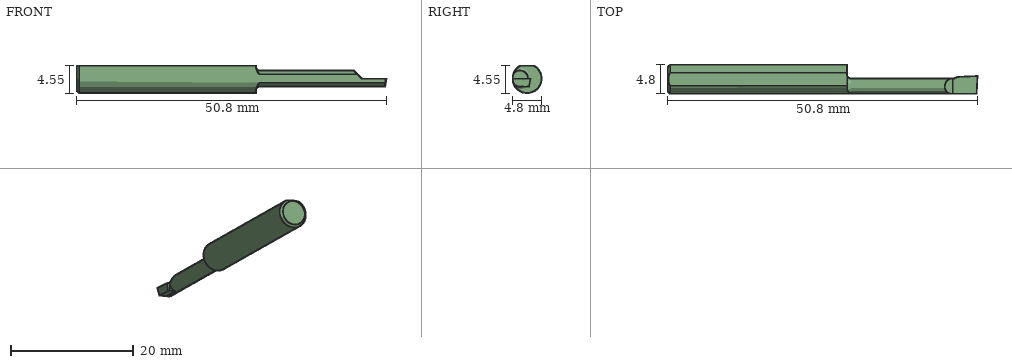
import cadquery as cq
import math

overall_length = 50.8
shank_length = 29.4
shank_radius = 2.4
shank_chamfer = 0.4
flat_height = 2.15

neck_radius = 1.3
neck_center_y = -1.15
root_fillet = 0.6

rake_start_x = 46.75
head_start_x = 46.9
ramp_angle = 45.0
head_shoulder_x = 47.45
head_shoulder_y = 0.4
cutting_corner_y = 0.55
end_skew = 0.15
relief_angle = 10.0


def x_cylinder(radius, length, center_y=0.0):
    """Cylinder along +X starting at X = 0."""
    return cq.Workplane("YZ").center(center_y, 0).circle(radius).extrude(length)


def make_shank():
    shank = x_cylinder(shank_radius, shank_length).faces("<X").chamfer(shank_chamfer)
    width = 2 * shank_radius
    below_flat = cq.Workplane("XY").box(
        shank_length, width, flat_height + shank_radius, centered=(False, True, False)
    ).translate((0, 0, -shank_radius))
    return shank.intersect(below_flat)


def make_neck():
    """Revolve the neck with a concave flare where it leaves the shank."""
    flare_radius = neck_radius + root_fillet
    flare_end = shank_length + root_fillet
    arc_offset = root_fillet * (1 - math.sqrt(0.5))
    flare_middle = (shank_length + arc_offset, neck_radius + arc_offset)
    profile = (
        cq.Workplane("XY")
        .moveTo(shank_length, 0)
        .lineTo(shank_length, flare_radius)
        .threePointArc(flare_middle, (flare_end, neck_radius))
        .lineTo(overall_length, neck_radius)
        .lineTo(overall_length, 0)
        .close()
    )
    neck = profile.revolve(360, (0, 0, 0), (1, 0, 0))
    return neck.translate((0, neck_center_y, 0))


def make_head_side():
    """Widen the head on +Y, tapering inward below the rake face for clearance."""
    neck_side_y = neck_center_y + neck_radius
    outline = [
        (head_start_x, neck_center_y),
        (head_start_x, neck_side_y),
        (head_shoulder_x, head_shoulder_y),
        (overall_length, cutting_corner_y),
        (overall_length, neck_center_y),
    ]
    return cq.Workplane("XY").polyline(outline).close().extrude(-neck_radius, taper=relief_angle)


def make_rake_cut():
    """Clear everything above the center plane, with a ramp back up to the neck."""
    ramp_length = shank_radius / math.tan(math.radians(ramp_angle))
    outline = [
        (rake_start_x, 0),
        (rake_start_x - ramp_length, shank_radius),
        (overall_length, shank_radius),
        (overall_length, 0),
    ]
    return cq.Workplane("XZ").polyline(outline).close().extrude(shank_radius, both=True)


def make_end_cut():
    """Skew the end edge in plan and lean the end face back beneath it."""
    lean = neck_radius * math.tan(math.radians(relief_angle))

    def end_outline(height, setback):
        skew_slope = end_skew / (cutting_corner_y + shank_radius)
        near_x = overall_length - end_skew - setback
        far_x = near_x + skew_slope * 2 * shank_radius
        beyond_x = overall_length + shank_radius
        points = [
            (near_x, -shank_radius, height),
            (far_x, shank_radius, height),
            (beyond_x, shank_radius, height),
            (beyond_x, -shank_radius, height),
        ]
        return cq.Wire.makePolygon([cq.Vector(*point) for point in points], close=True)

    cutter = cq.Solid.makeLoft([end_outline(-neck_radius, lean), end_outline(0, 0)], True)
    return cq.Workplane(obj=cutter)


blade = make_neck().union(make_head_side())
blade = blade.intersect(x_cylinder(shank_radius, overall_length))
blade = blade.cut(make_rake_cut()).cut(make_end_cut())

result = make_shank().union(blade)